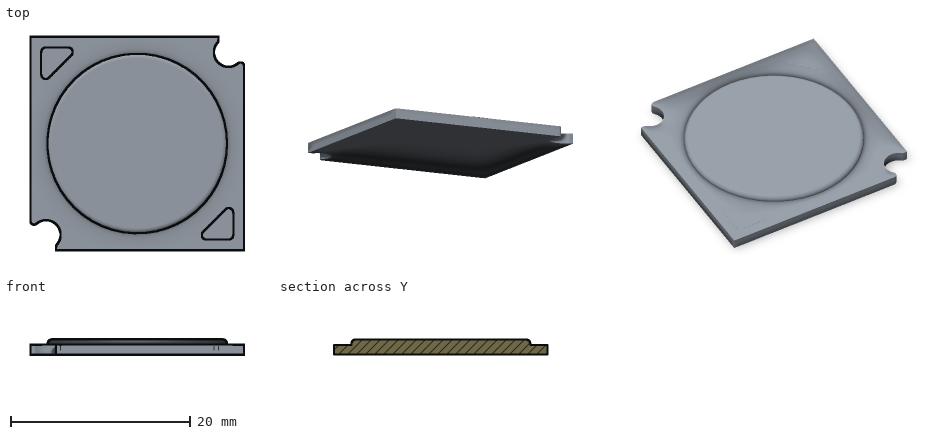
import cadquery as cq
import math

side = 23.85
half = side / 2
total_height = 1.75
plate_thickness = 1.15

notch_radius = 1.62
notch_center = 10.18
lip_radius = 0.4

disc_radius = 10.02
disc_edge_fillet = 0.52

pad_margin = 1.22
pad_leg = 4.22
pad_corner_radius = 0.5
pad_thickness = 0.012


def notch_cutter():
    """Corner cutter at +X +Y: a round notch blended by a convex arc into each plate edge."""
    lip_far = half - lip_radius
    far_offset = lip_far - notch_center
    center_distance = notch_radius + lip_radius
    lip_near = notch_center - math.sqrt(center_distance**2 - far_offset**2)

    share = notch_radius / center_distance
    touch_far = notch_center + share * far_offset
    touch_near = notch_center + share * (lip_near - notch_center)
    notch_deepest = notch_center - notch_radius * math.sqrt(0.5)

    end_angle = math.atan2(touch_near - lip_near, touch_far - lip_far)
    near_mid_angle = (end_angle + math.pi / 2) / 2
    side_mid_near = lip_near + lip_radius * math.sin(near_mid_angle)
    side_mid_far = lip_far + lip_radius * math.cos(near_mid_angle)

    edge_mid_angle = end_angle / 2
    edge_mid_x = lip_far + lip_radius * math.cos(edge_mid_angle)
    edge_mid_y = lip_near + lip_radius * math.sin(edge_mid_angle)

    return (
        cq.Workplane("XY")
        .moveTo(half, half)
        .lineTo(lip_near + lip_radius, half)
        .lineTo(lip_near + lip_radius, lip_far)
        .threePointArc((side_mid_near, side_mid_far), (touch_near, touch_far))
        .threePointArc((notch_deepest, notch_deepest), (touch_far, touch_near))
        .threePointArc((edge_mid_x, edge_mid_y), (half, lip_near))
        .close()
        .extrude(plate_thickness)
    )


def contact_pad():
    """Thin rounded triangle in the -X +Y corner of the plate top."""
    corner = half - pad_margin
    return (
        cq.Workplane("XY")
        .workplane(offset=plate_thickness)
        .moveTo(-corner, corner)
        .lineTo(-corner + pad_leg, corner)
        .lineTo(-corner, corner - pad_leg)
        .close()
        .extrude(pad_thickness)
        .edges("|Z")
        .fillet(pad_corner_radius)
    )


plate = cq.Workplane("XY").box(side, side, plate_thickness, centered=(True, True, False))

disc = (
    cq.Workplane("XY")
    .workplane(offset=plate_thickness)
    .circle(disc_radius)
    .extrude(total_height - plate_thickness)
    .faces(">Z")
    .edges()
    .fillet(disc_edge_fillet)
)

result = plate.union(disc)
for turn in (0, 180):
    result = result.cut(notch_cutter().rotate((0, 0, 0), (0, 0, 1), turn))
    result = result.union(contact_pad().rotate((0, 0, 0), (0, 0, 1), turn))